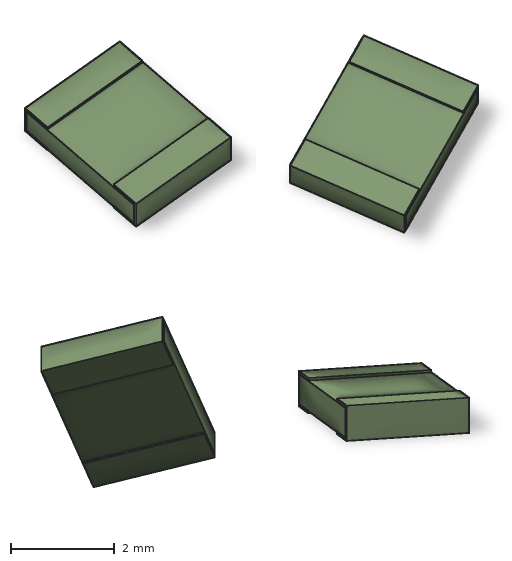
import cadquery as cq

length = 3.2
width = 2.5
height = 0.7
cap_thickness = 0.05
cap_reach = 0.65
cap_inset = 0.015

body_length = length - 2 * cap_thickness
body_height = height - 2 * cap_thickness
cap_width = width - 2 * cap_inset


def end_cap(side):
    """Block covering one end; the body fills its inside to leave a C-shaped wrap."""
    center_x = side * (length - cap_reach) / 2
    return cq.Workplane("XY").box(cap_reach, cap_width, height).translate((center_x, 0, 0))


result = cq.Workplane("XY").box(body_length, width, body_height)
for side in (-1, 1):
    result = result.union(end_cap(side))